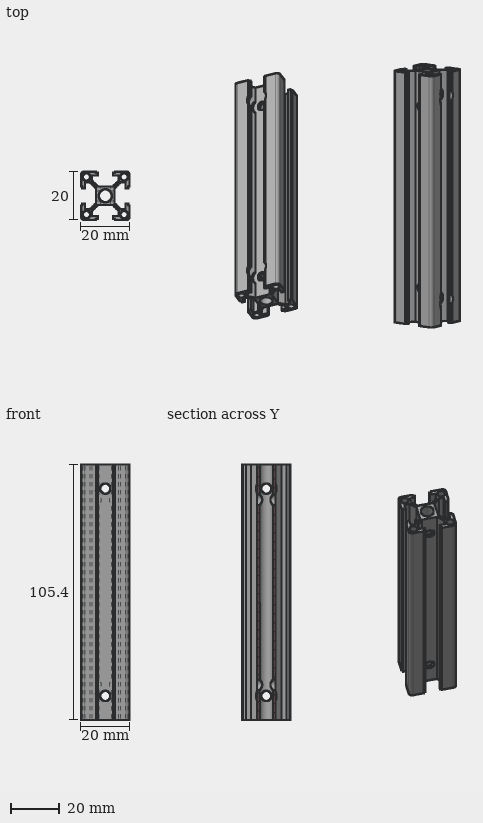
import cadquery as cq
import math

profile_width = 20.0
length = 105.4
half_width = profile_width / 2

core_width = 7.7
web_thickness = 1.0
lip_thickness = 1.7
pad_inner = 5.5
corner_radius = 1.45

slot_opening = 6.2
step_width = 0.8
step_depth = 0.5

center_bore_diameter = 5.3
corner_bore_diameter = 3.0
corner_bore_offset = 7.75

cross_hole_diameter = 4.15
y_hole_end_distance = 10.0
x_hole_end_distance = 14.6
counterbore_diameter = 8.5


def corner_section():
    """One corner pad with its two lips and the diagonal web that joins it to the core."""
    lip_end = slot_opening / 2
    step_edge = lip_end + step_width
    step_face = half_width - step_depth
    lip_inner = half_width - lip_thickness
    pad = (
        cq.Workplane("XY")
        .moveTo(pad_inner, pad_inner)
        .lineTo(lip_inner, pad_inner)
        .lineTo(lip_inner, lip_end)
        .lineTo(step_face, lip_end)
        .lineTo(step_face, step_edge)
        .lineTo(half_width, step_edge)
        .lineTo(half_width, half_width - corner_radius)
        .radiusArc((half_width - corner_radius, half_width), -corner_radius)
        .lineTo(step_edge, half_width)
        .lineTo(step_edge, step_face)
        .lineTo(lip_end, step_face)
        .lineTo(lip_end, lip_inner)
        .lineTo(pad_inner, lip_inner)
        .close()
        .extrude(length)
    )
    web_reach = math.sqrt(2) * corner_bore_offset
    web = (
        cq.Workplane("XY")
        .center(web_reach / 2, 0)
        .rect(web_reach, web_thickness)
        .extrude(length)
        .rotate((0, 0, 0), (0, 0, 1), 45)
    )
    return pad.union(web)


def profile_body():
    """Square core with the four corner sections around it and the five lengthwise bores."""
    body = cq.Workplane("XY").rect(core_width, core_width).extrude(length)
    corner = corner_section()
    for quarter in range(4):
        body = body.union(corner.rotate((0, 0, 0), (0, 0, 1), 90 * quarter))
    center_bore = cq.Workplane("XY").circle(center_bore_diameter / 2).extrude(length)
    corner_bores = (
        cq.Workplane("XY")
        .rect(2 * corner_bore_offset, 2 * corner_bore_offset, forConstruction=True)
        .vertices()
        .circle(corner_bore_diameter / 2)
        .extrude(length)
    )
    return body.cut(center_bore).cut(corner_bores)


def cross_cylinders(plane, end_distance, diameter):
    """A pair of cylinders across the whole profile, one the given distance from each end."""
    return (
        cq.Workplane(plane)
        .pushPoints([(0, end_distance), (0, length - end_distance)])
        .circle(diameter / 2)
        .extrude(half_width, both=True)
    )


def counterbores():
    """Openings from the +Y side, through the lips and webs, to the core face at each Y hole."""
    outside_core = (
        cq.Workplane("XY")
        .box(profile_width, half_width, length, centered=(True, False, False))
        .translate((0, core_width / 2, 0))
    )
    return cross_cylinders("XZ", y_hole_end_distance, counterbore_diameter).intersect(outside_core)


result = (
    profile_body()
    .cut(cross_cylinders("XZ", y_hole_end_distance, cross_hole_diameter))
    .cut(cross_cylinders("YZ", x_hole_end_distance, cross_hole_diameter))
    .cut(counterbores())
)